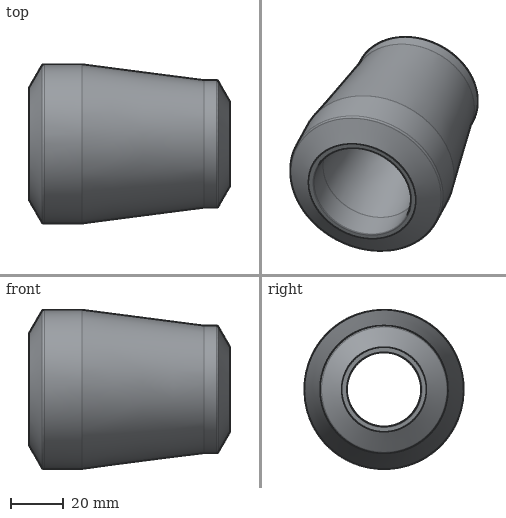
import cadquery as cq
import math

length = 76.0
wide_diameter = 60.3
narrow_diameter = 48.3
wide_bore = 38.3
narrow_bore = 27.9

outer_taper_start = 20.0
bore_taper_start = 12.0
taper_end = 66.0

root_face = 2.05
bevel_angle = 30.0
bevel_edge_radius = 1.0
bore_edge_radius = 0.3

wide_radius = wide_diameter / 2
narrow_radius = narrow_diameter / 2
wide_root_radius = wide_bore / 2 + root_face
narrow_root_radius = narrow_bore / 2 + root_face


def bevel_length(outer_radius, root_radius):
    return (outer_radius - root_radius) * math.tan(math.radians(bevel_angle))


def revolve_profile(points):
    profile = cq.Workplane("XZ").polyline(points).close()
    return profile.revolve(360, (0, 0, 0), (1, 0, 0))


wide_bevel_end = bevel_length(wide_radius, wide_root_radius)
narrow_bevel_start = length - bevel_length(narrow_radius, narrow_root_radius)

body = revolve_profile([
    (0, 0),
    (0, wide_root_radius),
    (wide_bevel_end, wide_radius),
    (outer_taper_start, wide_radius),
    (taper_end, narrow_radius),
    (narrow_bevel_start, narrow_radius),
    (length, narrow_root_radius),
    (length, 0),
])

for bevel_edge in (wide_bevel_end, narrow_bevel_start):
    edge_band = cq.selectors.BoxSelector(
        (bevel_edge - bevel_edge_radius, -wide_diameter, -wide_diameter),
        (bevel_edge + bevel_edge_radius, wide_diameter, wide_diameter),
        boundingbox=True,
    )
    body = body.edges(edge_band).fillet(bevel_edge_radius)

bore = revolve_profile([
    (0, 0),
    (0, wide_bore / 2),
    (bore_taper_start, wide_bore / 2),
    (taper_end, narrow_bore / 2),
    (length, narrow_bore / 2),
    (length, 0),
])

result = body.cut(bore)

for end_face in ("<X", ">X"):
    bore_rim = result.faces(end_face).edges(cq.selectors.RadiusNthSelector(0))
    result = bore_rim.fillet(bore_edge_radius)